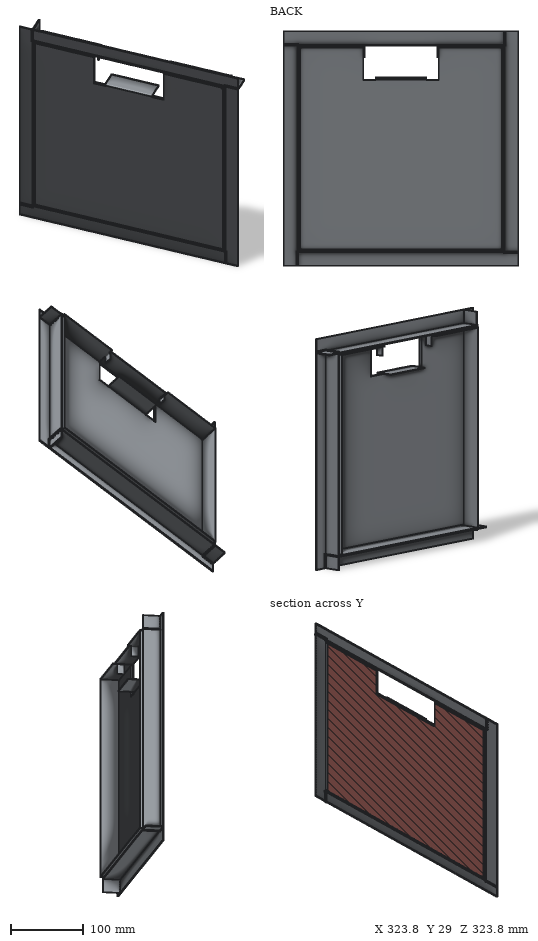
import cadquery as cq

sides = 4
frame_size = 323.8
flange_width = 20.0
angle_thickness = 1.5
angle_depth = 25.3
lap = 3.0
frame_half = frame_size / 2
opening_half = frame_half - flange_width

sheet = 1.0
frame_gap = 0.8
panel_depth = 29.0
inner_bend = 1.0
outer_bend = inner_bend + sheet
corner_relief = 2.5
panel_half = opening_half - frame_gap
bend_line = panel_half - outer_bend

hand_width = 104.0
hand_bottom = 95.0
shelf_width = 70.0
shelf_depth = 25.0
shelf_rise = 1.3

ear_front = 13.5
ear_depth = 10.0
ear_height = 15.0

board_thickness = 3.0


def box(x0, x1, y0, y1, z0, z1):
    """Box between two opposite corners."""
    return cq.Workplane("XY").box(x1 - x0, y1 - y0, z1 - z0, centered=False).translate((x0, y0, z0))


def turn(shape, quarter):
    """Turn a shape about the Y axis by a number of quarter turns, from the top towards the right."""
    return shape.rotate((0, 0, 0), (0, 1, 0), 360 / sides * quarter)


def make_top_angle():
    """L-section along the top: front flange outside, leg running back from its inner edge."""
    start = -opening_half - lap
    leg_top = opening_half + angle_thickness
    flange = box(start, frame_half, 0, angle_thickness, opening_half, frame_half)
    leg = box(start, frame_half, 0, angle_depth, opening_half, leg_top)
    slot = box(-leg_top, -opening_half, angle_thickness, angle_depth, opening_half, leg_top)
    notch = box(opening_half, frame_half, 0, angle_thickness, opening_half, opening_half + lap)
    return flange.union(leg).cut(slot).cut(notch)


def make_tray():
    """Face with a flange folded back along each side and a square relief at each corner."""
    tray = (
        box(-panel_half, panel_half, 0, panel_depth, -panel_half, panel_half)
        .faces("<Y").edges().fillet(outer_bend)
    )
    inner_half = panel_half - sheet
    pocket = (
        box(-inner_half, inner_half, sheet, panel_depth, -inner_half, inner_half)
        .faces("<Y").edges().fillet(inner_bend)
    )
    tray = tray.cut(pocket)
    relief_edge = panel_half - corner_relief
    relief = box(relief_edge, panel_half, 0, corner_relief, relief_edge, panel_half)
    for quarter in range(sides):
        tray = tray.cut(turn(relief, quarter))
    return tray


def make_shelf():
    """Tab folded back from the lower edge of the hand opening through a rounded bend."""
    bend_start = hand_bottom + shelf_rise
    top = bend_start + outer_bend
    return (
        cq.Workplane("YZ")
        .moveTo(0, hand_bottom)
        .lineTo(0, bend_start)
        .radiusArc((outer_bend, top), outer_bend)
        .lineTo(shelf_depth, top)
        .lineTo(shelf_depth, top - sheet)
        .lineTo(outer_bend, top - sheet)
        .radiusArc((sheet, bend_start), -inner_bend)
        .lineTo(sheet, hand_bottom)
        .close()
        .extrude(shelf_width / 2, both=True)
    )


def make_left_ear():
    """Tab folded down from the left cut end of the top flange."""
    edge = -hand_width / 2
    return (
        cq.Workplane("XZ", origin=(0, ear_front, 0))
        .moveTo(edge, panel_half)
        .radiusArc((edge + outer_bend, panel_half - outer_bend), outer_bend)
        .lineTo(edge + outer_bend, panel_half - ear_height)
        .lineTo(edge + inner_bend, panel_half - ear_height)
        .lineTo(edge + inner_bend, panel_half - outer_bend)
        .radiusArc((edge, panel_half - sheet), -inner_bend)
        .close()
        .extrude(-ear_depth)
    )


def make_hand_opening():
    """Cutting block for the rectangular hand opening, reaching up through the top flange."""
    return box(-hand_width / 2, hand_width / 2, 0, panel_depth, hand_bottom, panel_half)


def make_panel():
    """Folded sheet panel with its hand opening, shelf and ears."""
    left_ear = make_left_ear()
    return (
        make_tray()
        .cut(make_hand_opening())
        .union(make_shelf())
        .union(left_ear)
        .union(left_ear.mirror("YZ"))
    )


def make_board():
    """Flat board against the back of the panel face, cut out around the hand opening."""
    board = box(-bend_line, bend_line, sheet, sheet + board_thickness, -bend_line, bend_line)
    return board.cut(make_hand_opening())


top_angle = make_top_angle()
angles = []
for quarter in range(sides):
    angles.append(turn(top_angle, quarter))

panel = make_panel()
board = make_board()

result = cq.Compound.makeCompound([angle.val() for angle in angles] + [panel.val(), board.val()])